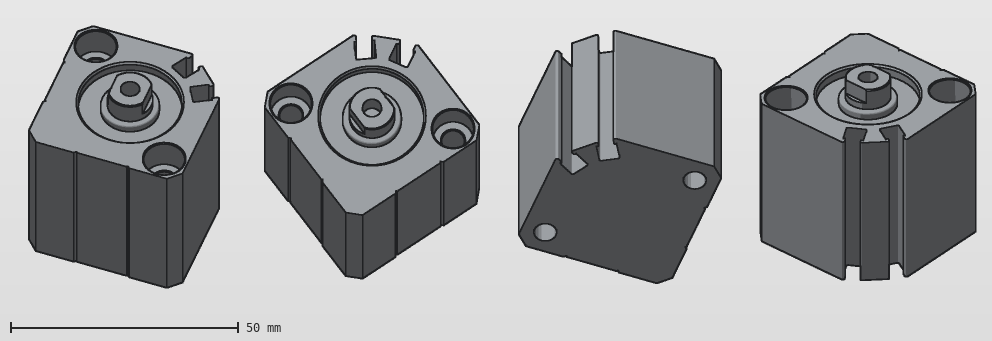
import cadquery as cq
import math


WIDTH = 36.0
HALF = WIDTH / 2
HOUSING_HEIGHT = 36.5
CORNER_CHAMFER = 2.65
SLOT_CORNER_DISTANCE = 18.85

RELIEF_DEPTH = 0.2
RELIEF_HALF_WIDTH = 5.85
GROOVE_DEPTH = 0.5
GROOVE_HALF_SPACING = 6.0

SLOT_ANGLES = (30, 60)
SLOT_FLOOR = 13.65
SLOT_LIP = 17.88
SLOT_END = 24.6
SLOT_HALF_WIDTH = 2.25
MOUTH_HALF_WIDTH = 1.72
SLOT_FLOOR_FILLET = 0.4
LIP_FILLET = 0.2
BEVEL_FILLET = 0.35
SIDE_FILLET = 0.45

RECESS_RADIUS = 11.4
RECESS_CHAMFER = 0.45
RECESS_DEPTH = 2.38
COLLAR_RADIUS = 6.48
COLLAR_HEIGHT = 1.72
COLLAR_FILLET = 0.5

HOLE_OFFSET = 12.75
HOLE_RADIUS = 2.5
COUNTERBORE_RADIUS = 4.5
COUNTERBORE_DEPTH = 7.0
HOLE_CHAMFER = 0.25

TOTAL_HEIGHT = 41.0
ROD_RADIUS = 5.0
ROD_CHAMFER_RADIAL = 0.15
ROD_CHAMFER_HEIGHT = 0.33
FLAT_HALF_WIDTH = 4.0
FLAT_HEIGHT = 3.53
ROD_HOLE_RADIUS = 2.1

RECESS_FLOOR = HOUSING_HEIGHT - RECESS_DEPTH
COLLAR_TOP = RECESS_FLOOR + COLLAR_HEIGHT


def block():
    """Square block with chamfered corners; the +X +Y corner is bevelled deeper for the slots."""
    chamfer_end = HALF - CORNER_CHAMFER
    bevel_end = SLOT_CORNER_DISTANCE * math.sqrt(2) - HALF
    return (
        cq.Workplane("XY")
        .polyline([
            (-HALF, -chamfer_end),
            (-chamfer_end, -HALF),
            (chamfer_end, -HALF),
            (HALF, -chamfer_end),
            (HALF, bevel_end),
            (bevel_end, HALF),
            (-chamfer_end, HALF),
            (-HALF, chamfer_end),
        ])
        .close()
        .extrude(HOUSING_HEIGHT)
    )


def side_relief():
    """Cutter for the relief and its two grooves on the -Y side."""
    groove_outer = GROOVE_HALF_SPACING + GROOVE_DEPTH
    side = -HALF
    return (
        cq.Workplane("XY")
        .polyline([
            (-groove_outer, side),
            (-GROOVE_HALF_SPACING, side + GROOVE_DEPTH),
            (-RELIEF_HALF_WIDTH, side + RELIEF_DEPTH),
            (RELIEF_HALF_WIDTH, side + RELIEF_DEPTH),
            (GROOVE_HALF_SPACING, side + GROOVE_DEPTH),
            (groove_outer, side),
        ])
        .close()
        .extrude(HOUSING_HEIGHT)
    )


def sensor_slot():
    """Cutter for one sensor slot pointing along +X: a wide channel behind a narrower mouth."""
    return (
        cq.Workplane("XY")
        .polyline([
            (SLOT_FLOOR, -SLOT_HALF_WIDTH),
            (SLOT_LIP, -SLOT_HALF_WIDTH),
            (SLOT_LIP, -MOUTH_HALF_WIDTH),
            (SLOT_END, -MOUTH_HALF_WIDTH),
            (SLOT_END, MOUTH_HALF_WIDTH),
            (SLOT_LIP, MOUTH_HALF_WIDTH),
            (SLOT_LIP, SLOT_HALF_WIDTH),
            (SLOT_FLOOR, SLOT_HALF_WIDTH),
        ])
        .close()
        .extrude(HOUSING_HEIGHT)
    )


def fillet_upright_edges(body, points, radius):
    """Round the upright edges of the body that pass through the given (x, y) points."""
    edges = cq.Workplane("XY")
    for x, y in points:
        middle = (x, y, HOUSING_HEIGHT / 2)
        edges = edges.add(body.edges("|Z").edges(cq.selectors.NearestToPointSelector(middle)))
    return body.newObject([body.val().fillet(radius, edges.vals())])


def round_slot_edges(body):
    """Round the floor corners, lips and mouth edges of both sensor slots."""
    steep = math.radians(max(SLOT_ANGLES))
    bevel_turn = steep - math.pi / 4

    def slot_point(along, across):
        return (
            along * math.cos(steep) + across * math.sin(steep),
            along * math.sin(steep) - across * math.cos(steep),
        )

    side_edge = (HALF - MOUTH_HALF_WIDTH * math.cos(steep)) / math.sin(steep)
    bevel_edge = (SLOT_CORNER_DISTANCE - MOUTH_HALF_WIDTH * math.sin(bevel_turn)) / math.cos(bevel_turn)
    fillets = [
        (SLOT_FLOOR_FILLET, (SLOT_FLOOR, -SLOT_HALF_WIDTH)),
        (SLOT_FLOOR_FILLET, (SLOT_FLOOR, SLOT_HALF_WIDTH)),
        (LIP_FILLET, (SLOT_LIP, -MOUTH_HALF_WIDTH)),
        (LIP_FILLET, (SLOT_LIP, MOUTH_HALF_WIDTH)),
        (SIDE_FILLET, (side_edge, -MOUTH_HALF_WIDTH)),
        (BEVEL_FILLET, (bevel_edge, MOUTH_HALF_WIDTH)),
    ]
    for radius, corner in fillets:
        x, y = slot_point(*corner)
        body = fillet_upright_edges(body, [(x, y), (y, x)], radius)
    return body


def chamfered_recess(radius, floor, top, chamfer):
    """Cutter for a round recess from floor to top that widens by a 45 degree chamfer at its top."""
    return (
        cq.Workplane("XZ")
        .polyline([
            (0, floor),
            (radius, floor),
            (radius, top - chamfer),
            (radius + chamfer, top),
            (0, top),
        ])
        .close()
        .revolve(360, (0, 0), (0, 1))
    )


def collar():
    """Collar on the recess floor, rounded at its top edge."""
    return (
        cq.Workplane("XY", origin=(0, 0, RECESS_FLOOR))
        .circle(COLLAR_RADIUS)
        .extrude(COLLAR_HEIGHT)
        .faces(">Z")
        .edges()
        .fillet(COLLAR_FILLET)
    )


def mounting_hole():
    """Cutter for a counterbored through hole, chamfered at the top and at the counterbore floor."""
    seat = HOUSING_HEIGHT - COUNTERBORE_DEPTH
    bore = chamfered_recess(HOLE_RADIUS, 0, seat, HOLE_CHAMFER)
    return bore.union(chamfered_recess(COUNTERBORE_RADIUS, seat, HOUSING_HEIGHT, HOLE_CHAMFER))


def make_housing():
    body = block()
    for angle in SLOT_ANGLES:
        body = body.cut(sensor_slot().rotate((0, 0, 0), (0, 0, 1), angle))
    body = round_slot_edges(body)
    for angle in (0, -90):
        body = body.cut(side_relief().rotate((0, 0, 0), (0, 0, 1), angle))
    body = body.cut(chamfered_recess(RECESS_RADIUS, RECESS_FLOOR, HOUSING_HEIGHT, RECESS_CHAMFER))
    for side in (-1, 1):
        body = body.cut(mounting_hole().translate((side * HOLE_OFFSET, -side * HOLE_OFFSET, 0)))
    return body.union(collar())


def make_rod():
    """Rod standing on the collar, with a hole along its axis and two wrench flats facing -X and +X."""
    rod = (
        cq.Workplane("XZ")
        .polyline([
            (ROD_HOLE_RADIUS, COLLAR_TOP),
            (ROD_RADIUS, COLLAR_TOP),
            (ROD_RADIUS, TOTAL_HEIGHT - ROD_CHAMFER_HEIGHT),
            (ROD_RADIUS - ROD_CHAMFER_RADIAL, TOTAL_HEIGHT),
            (ROD_HOLE_RADIUS, TOTAL_HEIGHT),
        ])
        .close()
        .revolve(360, (0, 0), (0, 1))
    )
    flat_depth = ROD_RADIUS - FLAT_HALF_WIDTH
    flat_cut = cq.Workplane("XY").box(flat_depth, 2 * ROD_RADIUS, FLAT_HEIGHT)
    for side in (-1, 1):
        center = (side * (FLAT_HALF_WIDTH + flat_depth / 2), 0, TOTAL_HEIGHT - FLAT_HEIGHT / 2)
        rod = rod.cut(flat_cut.translate(center))
    return rod


housing = make_housing()
rod = make_rod()

result = cq.Compound.makeCompound([housing.val(), rod.val()])